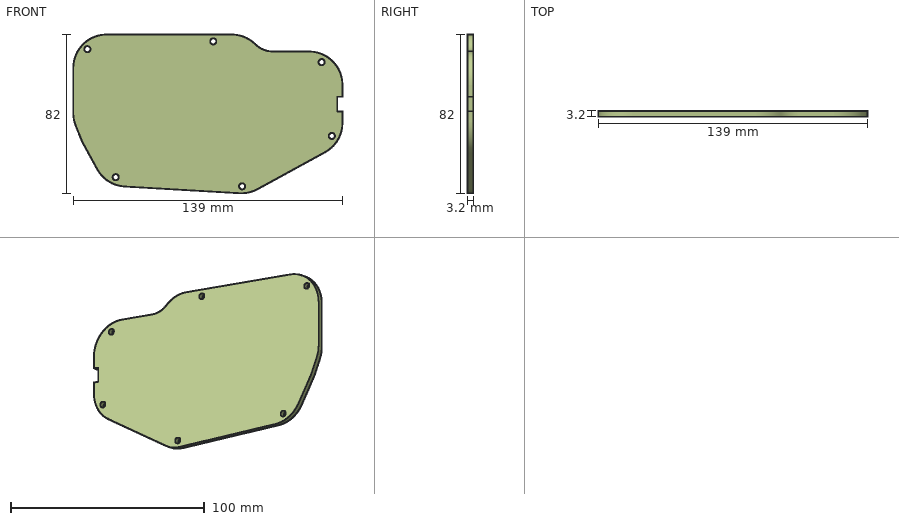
import cadquery as cq
import math

length = 139.0
height = 82.0
thickness = 3.2
corner_radius = 17.4
step_inner_radius = 12.5
step_drop = 8.8
step_start = 89.0
step_angle = math.radians(45)
shoulder_height = height - step_drop
step_end = step_start + step_drop / math.tan(step_angle)

notch_depth = 2.6
notch_bottom = 42.2
notch_height = 7.5

hole_diameter = 3.0
hole_centers = [
    (7.4, 74.4),
    (72.3, 78.4),
    (128.1, 67.7),
    (133.4, 29.6),
    (22.0, 8.3),
    (87.1, 3.6),
]

corners = [
    (0, height, corner_radius),
    (step_start, height, corner_radius),
    (step_end, shoulder_height, step_inner_radius),
    (length, shoulder_height, corner_radius),
    (length, 26.1, corner_radius),
    (90.8, -0.3, corner_radius),
    (17.0, 4.0, corner_radius),
    (4.6, 26.7, corner_radius),
    (0, 38.1, corner_radius),
]


def rounded_corner(before, corner, after):
    """Return the start, middle and end points of the tangent arc that rounds a corner."""
    x, z, radius = corner
    to_before = cq.Vector(before[0] - x, before[1] - z).normalized()
    to_after = cq.Vector(after[0] - x, after[1] - z).normalized()
    half_angle = to_before.getAngle(to_after) / 2
    tangent_length = radius / math.tan(half_angle)
    middle_distance = radius / math.sin(half_angle) - radius
    point = cq.Vector(x, z)
    middle = point + (to_before + to_after).normalized() * middle_distance
    ends = [point + direction * tangent_length for direction in (to_before, to_after)]
    return [p.toTuple()[:2] for p in (ends[0], middle, ends[1])]


def make_plate():
    """Extrude the rounded outline from the front face (Y = 0) to the back."""
    count = len(corners)
    arcs = [
        rounded_corner(corners[i - 1], corners[i], corners[(i + 1) % count])
        for i in range(count)
    ]
    outline = cq.Workplane("XZ").moveTo(*arcs[0][0])
    for index, (start, middle, end) in enumerate(arcs):
        if index > 0:
            outline = outline.lineTo(*start)
        outline = outline.threePointArc(middle, end)
    return outline.close().extrude(-thickness)


def make_notch():
    """Rectangular notch in the right edge, through the full thickness."""
    return cq.Workplane("XY").box(notch_depth, thickness, notch_height, centered=False).translate(
        (length - notch_depth, 0, notch_bottom)
    )


def make_holes():
    """Screw holes around the rim, through the full thickness."""
    return cq.Workplane("XZ").pushPoints(hole_centers).circle(hole_diameter / 2).extrude(-thickness)


result = make_plate().cut(make_notch()).cut(make_holes())